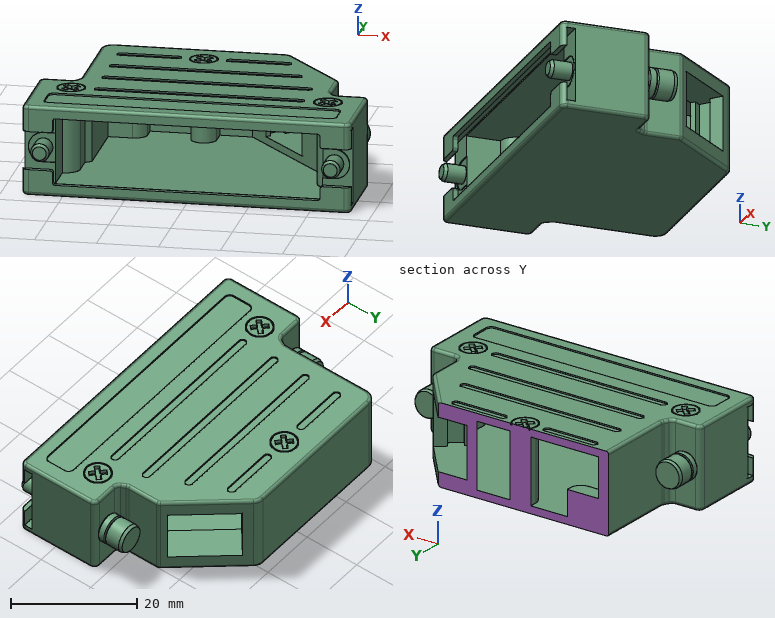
import cadquery as cq
import math

body_width = 53.0
body_height = 14.8
body_depth = 35.1
shoulder_y = 15.1
neck_half_width = 20.2
neck_start_y = 16.65
shoulder_inner_x = 21.0
slant_top_x = 9.9
slant_bottom_y = 22.85
corner_radius = 1.0
rear_corner_radius = 2.0
edge_radius = 0.55
mid_z = body_height / 2
clearance = 0.55

cavity_half_width = 21.55
opening_height = 11.0
opening_corner_radius = 0.4
lip_thickness = 0.85
slot_rear_y = 2.3
slot_height = 12.4
side_gap_height = 6.3

cavity_height = 11.85
cavity_rear_y = 32.6
cavity_left_x = -18.1
pillar_front_y = 8.1
pillar_inner_x = 19.15
pillar_radius = cavity_half_width - pillar_inner_x
chamfer_start_y = 14.25
chamfer_end_y = 15.0
slant_wall_thickness = 5.85
rear_boss_radius = 2.05
rest_height = 4.7
rest_right_x = -12.15
rest_depth = 4.15
floor_z = mid_z - cavity_height / 2

exit_width = 11.85
exit_height = 9.4
exit_center_x = 10.95
clamp_groove_start = 0.85
clamp_groove_end = 3.55
clamp_groove_depth = 1.3

jack_x = 23.5
jack_z = mid_z
pin_radius = 1.5
pin_tip_radius = 1.1
pin_tip_y = -1.2
pin_tip_length = 0.55
seat_radius = 2.45
seat_depth = 0.15
knob_radius = 2.5
knob_end_y = 19.95
knob_chamfer = 0.2
knob_end_bevel = 0.6
knob_groove_start_y = 16.4
knob_groove_end_y = 16.75

groove_pitch = 6.3
groove_first_y = 11.1
groove_width = 1.3
recess_depth = 0.25
groove_left_x = -16.95
top_groove_row = 3
groove_spans = [
    (0, groove_left_x, 16.95),
    (1, groove_left_x, 16.95),
    (2, groove_left_x, 14.1),
    (top_groove_row, groove_left_x, -6.6),
    (top_groove_row, 0.7, 11.2),
]
label_width = 47.15
label_front_y = 2.55
label_rear_y = 7.65
label_radius = 1.0

side_screw_x = 20.7
rear_screw_x = -2.95
rear_screw_y = groove_first_y + top_groove_row * groove_pitch
cover_screws = [
    (-side_screw_x, groove_first_y),
    (side_screw_x, groove_first_y),
    (rear_screw_x, rear_screw_y),
]
screw_hole_radius = 2.3
screw_head_radius = 2.1
screw_ring_depth = 0.25
cross_length = 2.95
cross_width = 0.9
cross_depth = 0.55
cross_taper = 15
cross_angle = 45

slant_dx = neck_half_width - slant_top_x
slant_dy = body_depth - slant_bottom_y
slant_length = math.hypot(slant_dx, slant_dy)
normal_x = slant_dy / slant_length
normal_y = slant_dx / slant_length
inner_slant_offset = normal_x * slant_top_x + normal_y * body_depth - slant_wall_thickness


def inner_slant_y(x):
    """Y of the inner face of the slanted wall at the given X."""
    return (inner_slant_offset - normal_x * x) / normal_y


def box(x_min, x_max, y_min, y_max, height):
    """Box centred on the mid plane of the shell."""
    return (
        cq.Workplane("XY", origin=((x_min + x_max) / 2, (y_min + y_max) / 2, mid_z))
        .box(x_max - x_min, y_max - y_min, height)
    )


def make_shell():
    half_width = body_width / 2
    shell = (
        cq.Workplane("XY")
        .moveTo(-half_width, 0)
        .lineTo(half_width, 0)
        .lineTo(half_width, shoulder_y)
        .lineTo(shoulder_inner_x, shoulder_y)
        .lineTo(neck_half_width, neck_start_y)
        .lineTo(neck_half_width, slant_bottom_y)
        .lineTo(slant_top_x, body_depth)
        .lineTo(-neck_half_width, body_depth)
        .lineTo(-neck_half_width, neck_start_y)
        .lineTo(-shoulder_inner_x, shoulder_y)
        .lineTo(-half_width, shoulder_y)
        .close()
        .extrude(body_height)
    )
    shell = shell.edges("|Z").edges(">Y").fillet(rear_corner_radius)
    rear_corner_limit = body_depth - 2 * rear_corner_radius
    front_corners = cq.selectors.BoxSelector(
        (-body_width, -clearance, -clearance),
        (body_width, rear_corner_limit, body_height + clearance),
    )
    shell = shell.edges("|Z").edges(front_corners).fillet(corner_radius)
    return shell.faces("<Z or >Z").edges().fillet(edge_radius)


def make_cavity():
    """Room behind the flange slot; rounded screw pillars narrow it towards the neck."""
    bend = pillar_radius * (1 - math.sqrt(0.5))
    pillar_side_y = pillar_front_y + pillar_radius
    bend_x = pillar_inner_x + bend
    bend_y = pillar_front_y + bend
    return (
        cq.Workplane("XY", origin=(0, 0, floor_z))
        .moveTo(-cavity_half_width, slot_rear_y)
        .lineTo(cavity_half_width, slot_rear_y)
        .lineTo(cavity_half_width, pillar_front_y)
        .threePointArc((bend_x, bend_y), (pillar_inner_x, pillar_side_y))
        .lineTo(pillar_inner_x, inner_slant_y(pillar_inner_x))
        .lineTo((inner_slant_offset - normal_y * cavity_rear_y) / normal_x, cavity_rear_y)
        .lineTo(cavity_left_x, cavity_rear_y)
        .lineTo(cavity_left_x, chamfer_end_y)
        .lineTo(-pillar_inner_x, chamfer_start_y)
        .lineTo(-pillar_inner_x, pillar_side_y)
        .threePointArc((-bend_x, bend_y), (-cavity_half_width, pillar_front_y))
        .close()
        .extrude(cavity_height)
    )


def make_front_opening():
    """Window in the front lip, the flange slot behind it and the open side gaps."""
    window = box(-cavity_half_width, cavity_half_width, -clearance, slot_rear_y, opening_height)
    side_gap = box(-body_width, body_width, -clearance, slot_rear_y, side_gap_height)
    opening = window.union(side_gap).edges("|Y").fillet(opening_corner_radius)
    slot = box(-body_width, body_width, lip_thickness, slot_rear_y, slot_height)
    return opening.union(slot)


def make_cable_exit():
    """Rectangular hole square to the slanted wall, with a clamp groove on both sides."""
    plane = cq.Plane(
        origin=(exit_center_x, inner_slant_y(exit_center_x), mid_z),
        xDir=(normal_y, -normal_x, 0),
        normal=(normal_x, normal_y, 0),
    )
    hole = (
        cq.Workplane(plane)
        .workplane(offset=-clearance)
        .rect(exit_width, exit_height)
        .extrude(slant_wall_thickness + 2 * clearance)
    )
    groove = (
        cq.Workplane(plane)
        .workplane(offset=clamp_groove_start)
        .rect(exit_width + 2 * clamp_groove_depth, exit_height)
        .extrude(clamp_groove_end - clamp_groove_start)
    )
    return hole.union(groove)


def make_rear_boss():
    """Full-height screw boss joined to the rear wall."""
    boss = (
        cq.Workplane("XY", origin=(rear_screw_x, rear_screw_y, floor_z))
        .circle(rear_boss_radius)
        .extrude(cavity_height)
    )
    web = box(
        rear_screw_x - rear_boss_radius, rear_screw_x + rear_boss_radius,
        rear_screw_y, cavity_rear_y, cavity_height,
    )
    return boss.union(web)


def make_rest():
    """Low block in the left rear corner with one rounded corner."""
    return (
        cq.Workplane("XY", origin=(cavity_left_x, cavity_rear_y, floor_z))
        .rect(rest_right_x - cavity_left_x, -rest_depth, centered=False)
        .extrude(rest_height)
        .edges("|Z and >X and <Y")
        .fillet(rear_boss_radius)
    )


def make_jack_seat(side):
    """Shallow U-shaped recess around the pin, open towards the cavity."""
    center_x = side * jack_x
    round_end = (
        cq.Workplane("XZ", origin=(center_x, slot_rear_y, jack_z))
        .circle(seat_radius)
        .extrude(-seat_depth)
    )
    inner_x = side * cavity_half_width
    channel = box(
        min(center_x, inner_x), max(center_x, inner_x),
        slot_rear_y, slot_rear_y + seat_depth, 2 * seat_radius,
    )
    return round_end.union(channel)


def make_jack_screw(side):
    """Front pin and rear thumb knob, turned about one axis along Y."""
    pin_root_y = slot_rear_y + 2 * seat_depth
    axis_origin = (side * jack_x, 0, jack_z)
    pin = (
        cq.Workplane("XY", origin=axis_origin)
        .moveTo(0, pin_root_y)
        .lineTo(pin_radius, pin_root_y)
        .lineTo(pin_radius, pin_tip_y + pin_tip_length)
        .lineTo(pin_tip_radius, pin_tip_y)
        .lineTo(0, pin_tip_y)
        .close()
        .revolve(axisStart=(0, 0, 0), axisEnd=(0, 1, 0))
    )
    neck_radius = knob_radius - knob_chamfer
    groove_mid_y = (knob_groove_start_y + knob_groove_end_y) / 2
    knob = (
        cq.Workplane("XY", origin=axis_origin)
        .moveTo(0, shoulder_y)
        .lineTo(neck_radius, shoulder_y)
        .lineTo(knob_radius, shoulder_y + knob_chamfer)
        .lineTo(knob_radius, knob_groove_start_y)
        .lineTo(neck_radius, groove_mid_y)
        .lineTo(knob_radius, knob_groove_end_y)
        .lineTo(knob_radius, knob_end_y - knob_end_bevel)
        .lineTo(neck_radius, knob_end_y)
        .lineTo(0, knob_end_y)
        .close()
        .revolve(axisStart=(0, 0, 0), axisEnd=(0, 1, 0))
    )
    return pin, knob


def cut_top_grooves(shell):
    for row, left_x, right_x in groove_spans:
        groove = (
            cq.Workplane("XY", origin=(
                (left_x + right_x) / 2, groove_first_y + row * groove_pitch, body_height,
            ))
            .slot2D(right_x - left_x, groove_width)
            .extrude(-recess_depth)
        )
        shell = shell.cut(groove)
    return shell


def make_label_recess():
    return (
        cq.Workplane("XY", origin=(0, (label_front_y + label_rear_y) / 2, body_height))
        .rect(label_width, label_rear_y - label_front_y)
        .extrude(-recess_depth)
        .edges("|Z")
        .fillet(label_radius)
    )


def make_cover_screw(x, y):
    """Ring gap around a flush screw head and the diagonal cross in the head."""
    top = cq.Workplane("XY", origin=(x, y, body_height))
    ring = top.circle(screw_hole_radius).circle(screw_head_radius).extrude(-screw_ring_depth)
    arm = cross_length / 2
    half = cross_width / 2
    cross = (
        cq.Workplane("XY")
        .polyline([
            (arm, -half), (arm, half), (half, half), (half, arm),
            (-half, arm), (-half, half), (-arm, half), (-arm, -half),
            (-half, -half), (-half, -arm), (half, -arm), (half, -half),
        ])
        .close()
        .extrude(-cross_depth, taper=cross_taper)
        .rotate((0, 0, 0), (0, 0, 1), cross_angle)
        .translate((x, y, body_height))
    )
    return ring.union(cross)


result = make_shell()
result = result.cut(make_cavity()).cut(make_front_opening()).cut(make_cable_exit())
result = result.union(make_rear_boss()).union(make_rest())
result = cut_top_grooves(result).cut(make_label_recess())
for screw_x, screw_y in cover_screws:
    result = result.cut(make_cover_screw(screw_x, screw_y))
for side in (-1, 1):
    result = result.cut(make_jack_seat(side))
    pin, knob = make_jack_screw(side)
    result = result.union(pin).union(knob)